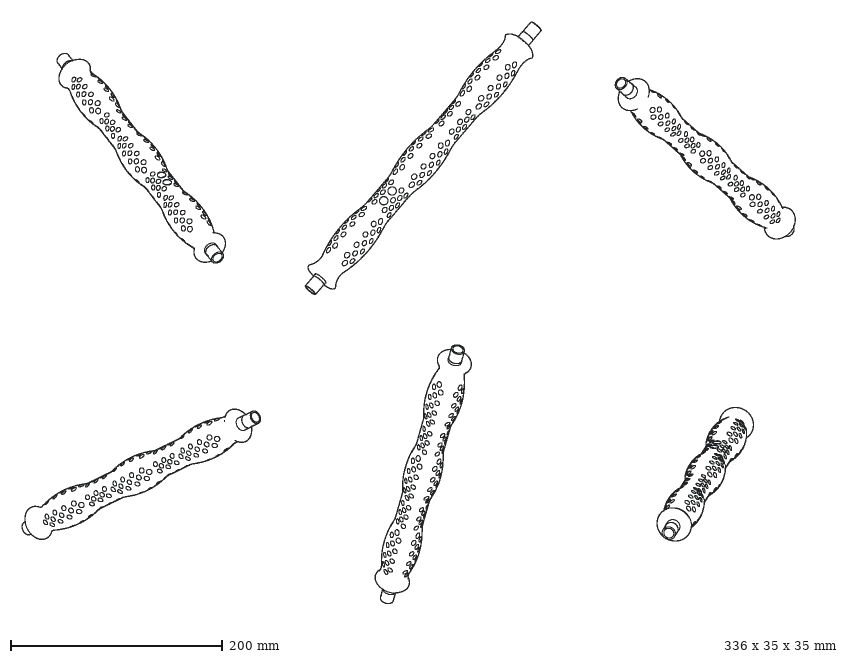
import cadquery as cq
import math

TUBE_LENGTH = 336.0
TUBE_DIAMETER = 13.0
TUBE_END_DIAMETER = 12.8
TUBE_END_LENGTH = 12.5
TUBE_BORE = 9.7

BARREL_CENTRE_X = 2.7
BARREL_PITCH = 99.8
BARREL_RADIUS = 17.5
BARREL_HALF_LENGTH = 26.5
WAIST_RADIUS = 27.0 / 2
WAIST_LENGTH = 31.2
BLEND_LENGTH = (BARREL_PITCH - WAIST_LENGTH) / 2 - BARREL_HALF_LENGTH

LEFT_RIM_RADIUS = 16.8
RIM_ROUND = 0.7
DOME_FACE_X = -147.5
DOME_MIDDLE_X = -146.0
DOME_MIDDLE_RADIUS = 13.5
LEFT_RIM_X = -142.5
LEFT_FLARE_START_SLOPE = -0.9

LAST_BARREL_END = 30.0
LAST_TAPER_LENGTH = 3.0
RIGHT_NECK_X = 138.0
RIGHT_NECK_RADIUS = 12.5
RIGHT_FLARE_END_X = 150.0
RIGHT_FLARE_END_RADIUS = 16.0
RIGHT_FACE_X = 153.0
RIGHT_FACE_RADIUS = 14.8

DIMPLE_DIAMETER = 5.5
DIMPLE_DEPTH = 0.7
DIMPLE_ROW_ANGLE = 17.0
QUARTER_ANGLES = (45.0, 135.0, 225.0, 315.0)
BARREL_DIMPLE_PITCH = 13.8
BARREL_MIDDLE_ROW_COUNT = 5
BARREL_OUTER_ROW_COUNT = 4
WAIST_DIMPLE_PITCH = 12.5
WAIST_MIDDLE_ROW_COUNT = 2
WAIST_OUTER_ROW_COUNT = 3

RECESS_DIAMETER = 8.0
RECESS_DEPTH = 0.7

BARREL_CENTRES = [BARREL_CENTRE_X + step * BARREL_PITCH for step in (-1, 0, 1)]
WAIST_CENTRES = [BARREL_CENTRE_X + step * BARREL_PITCH for step in (-0.5, 0.5)]

BARREL_CURVE_RADIUS = (
    BARREL_HALF_LENGTH * (BARREL_HALF_LENGTH + BLEND_LENGTH) / (2 * (BARREL_RADIUS - WAIST_RADIUS))
)


def barrel_radius(offset):
    """Radius of a barrel at a distance along X from its centre."""
    return BARREL_RADIUS - offset**2 / (2 * BARREL_CURVE_RADIUS)


def waist_radius(offset):
    """Radius of a waist, the same all along it."""
    return WAIST_RADIUS


def make_tube():
    """Bored tube whose two ends are turned down slightly."""
    start_x = -TUBE_LENGTH / 2
    ends = cq.Workplane("YZ", origin=(start_x, 0, 0)).circle(TUBE_END_DIAMETER / 2).extrude(TUBE_LENGTH)
    middle = (
        cq.Workplane("YZ", origin=(start_x + TUBE_END_LENGTH, 0, 0))
        .circle(TUBE_DIAMETER / 2)
        .extrude(TUBE_LENGTH - 2 * TUBE_END_LENGTH)
    )
    bore = cq.Workplane("YZ", origin=(start_x, 0, 0)).circle(TUBE_BORE / 2).extrude(TUBE_LENGTH)
    return ends.union(middle).cut(bore)


def draw_left_collar(bore_radius):
    """Start the outline: the dome from the bore to the rim, then the flare down to the first barrel."""
    flare_end_x = BARREL_CENTRES[0] - BARREL_HALF_LENGTH - BLEND_LENGTH
    return (
        cq.Workplane("XY")
        .moveTo(DOME_FACE_X, bore_radius)
        .threePointArc((DOME_MIDDLE_X, DOME_MIDDLE_RADIUS), (LEFT_RIM_X, LEFT_RIM_RADIUS))
        .spline(
            [(flare_end_x, WAIST_RADIUS)],
            tangents=[(1, LEFT_FLARE_START_SLOPE), (1, 0)],
            includeCurrent=True,
        )
    )


def draw_barrel(outline, centre, is_last):
    """Add a barrel with a blend before it, and a blend and a waist after it unless it is the last."""
    blend_outer = BARREL_HALF_LENGTH + BLEND_LENGTH
    blend_middle = BARREL_HALF_LENGTH + BLEND_LENGTH / 2
    barrel_end_radius = barrel_radius(BARREL_HALF_LENGTH)
    blend_middle_radius = WAIST_RADIUS + (barrel_end_radius - WAIST_RADIUS) / 4
    arc_end = LAST_BARREL_END if is_last else BARREL_HALF_LENGTH

    outline = (
        outline.threePointArc(
            (centre - blend_middle, blend_middle_radius), (centre - BARREL_HALF_LENGTH, barrel_end_radius)
        )
        .threePointArc((centre, BARREL_RADIUS), (centre + arc_end, barrel_radius(arc_end)))
    )
    if is_last:
        return outline
    return outline.threePointArc(
        (centre + blend_middle, blend_middle_radius), (centre + blend_outer, WAIST_RADIUS)
    ).lineTo(centre + blend_outer + WAIST_LENGTH, WAIST_RADIUS)


def draw_right_collar(outline, bore_radius):
    """Finish the outline: the taper, the flared neck, the rounded rim and the flat face."""
    taper_end = LAST_BARREL_END + LAST_TAPER_LENGTH
    return (
        outline.lineTo(BARREL_CENTRES[-1] + taper_end, barrel_radius(taper_end))
        .threePointArc(
            (RIGHT_NECK_X, RIGHT_NECK_RADIUS), (RIGHT_FLARE_END_X, RIGHT_FLARE_END_RADIUS)
        )
        .tangentArcPoint((RIGHT_FACE_X, RIGHT_FACE_RADIUS), relative=False)
        .lineTo(RIGHT_FACE_X, bore_radius)
        .close()
    )


def make_grip_blank():
    """Smooth grip, turned about the tube axis and bored to fit the tube."""
    bore_radius = TUBE_DIAMETER / 2
    outline = draw_left_collar(bore_radius)
    for centre in BARREL_CENTRES:
        outline = draw_barrel(outline, centre, is_last=centre == BARREL_CENTRES[-1])
    outline = draw_right_collar(outline, bore_radius)
    blank = outline.revolve(360, (0, 0, 0), (1, 0, 0))
    left_rim = cq.selectors.BoxSelector(
        (LEFT_RIM_X - RIM_ROUND, -BARREL_RADIUS, -BARREL_RADIUS),
        (LEFT_RIM_X + RIM_ROUND, BARREL_RADIUS, BARREL_RADIUS),
        boundingbox=True,
    )
    return blank.edges(left_rim).fillet(RIM_ROUND)


def make_dimple_row(centre, angle, count, pitch, radius_at):
    """Balls that cut one row of dimples along X, at an angle about the axis from +Y."""
    ball_radius = ((DIMPLE_DIAMETER / 2) ** 2 + DIMPLE_DEPTH**2) / (2 * DIMPLE_DEPTH)
    outward = cq.Vector(0, math.cos(math.radians(angle)), math.sin(math.radians(angle)))
    balls = []
    for index in range(count):
        offset = (index - (count - 1) / 2) * pitch
        distance = radius_at(offset) + ball_radius - DIMPLE_DEPTH
        position = cq.Vector(centre + offset, 0, 0) + outward * distance
        balls.append(cq.Solid.makeSphere(ball_radius, position, outward, -90, 90, 360))
    return balls


def make_dimple_field(centre, middle_count, outer_count, pitch, radius_at):
    """Balls for all the rows around one barrel or waist."""
    balls = []
    for quarter in QUARTER_ANGLES:
        balls += make_dimple_row(centre, quarter, middle_count, pitch, radius_at)
        for side in (-1, 1):
            angle = quarter + side * DIMPLE_ROW_ANGLE
            balls += make_dimple_row(centre, angle, outer_count, pitch, radius_at)
    return balls


def make_recesses():
    """Two round plugs that cut the recesses on top of the right waist."""
    return (
        cq.Workplane("XY", origin=(WAIST_CENTRES[-1], 0, WAIST_RADIUS - RECESS_DEPTH))
        .rarray(WAIST_DIMPLE_PITCH, 3.5, 2, 1)
        .circle(RECESS_DIAMETER / 2)
        .extrude(2 * RECESS_DEPTH)
    )


def make_grip():
    """Grip with its dimples and recesses."""
    balls = []
    for centre in BARREL_CENTRES:
        balls += make_dimple_field(
            centre, BARREL_MIDDLE_ROW_COUNT, BARREL_OUTER_ROW_COUNT, BARREL_DIMPLE_PITCH, barrel_radius
        )
    for centre in WAIST_CENTRES:
        balls += make_dimple_field(
            centre, WAIST_MIDDLE_ROW_COUNT, WAIST_OUTER_ROW_COUNT, WAIST_DIMPLE_PITCH, waist_radius
        )
    dimpled = make_grip_blank().val().cut(*balls)
    return cq.Workplane(dimpled).cut(make_recesses())


tube = make_tube()
grip = make_grip()
result = cq.Compound.makeCompound([*tube.solids().vals(), *grip.solids().vals()])